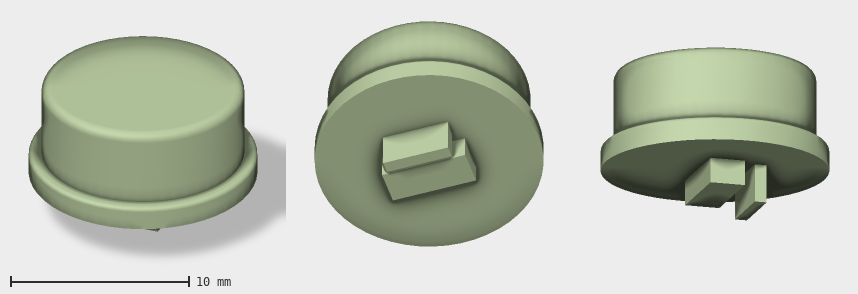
import cadquery as cq

flange_diameter = 12.85
cap_diameter = 11.4
flange_height = 1.35
body_height = 5.68

cap_fillet = 0.5
flange_fillet = 0.25

reach = 2.45
tab_width = 3.83
tab_thickness = 0.7
tab_depth = 2.17
block_width = 2.0
block_depth = 1.43


def rounded_disc(diameter, height, fillet):
    """Disc standing on Z = 0 with a rounded upper rim."""
    disc = cq.Workplane("XY").circle(diameter / 2).extrude(height)
    return disc.faces(">Z").edges().fillet(fillet)


def hanging_box(size_x, size_y, depth, center_y=0):
    """Rectangular box reaching down from the flange underside."""
    return cq.Workplane("XY").center(0, center_y).rect(size_x, size_y).extrude(-depth)


flange = rounded_disc(flange_diameter, flange_height, flange_fillet)
cap = rounded_disc(cap_diameter, body_height, cap_fillet)

block = hanging_box(2 * reach, block_width, block_depth)

tab = hanging_box(tab_width, tab_thickness, tab_depth, center_y=tab_thickness / 2 - reach)

result = flange.union(cap).union(block).union(tab)